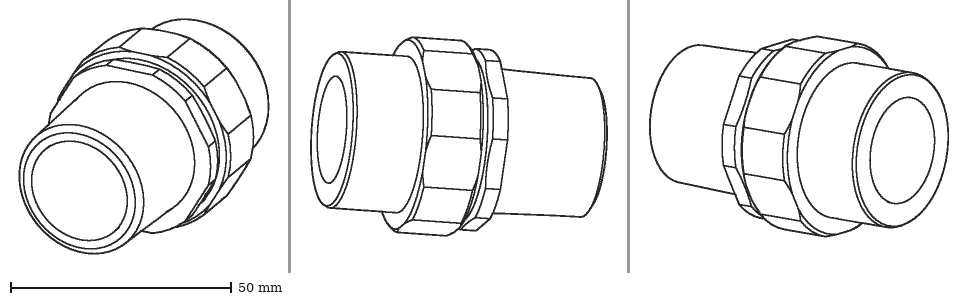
import cadquery as cq
import math


total_length = 60.95
hex_front = 25.25
hex_back = 29.55
nut_front = 31.4
nut_back = 44.5
neck_back = (nut_front + nut_back) / 2

bore_diameter = 24.4

tail_diameter = 35.65
tail_chamfer_axial = 0.8
tail_chamfer_radial = 0.4

nut_across_flats = 42.85
nut_corner_diameter = 44.55
nut_bore_diameter = 39.6
nut_chamfer_axial = 0.8
nut_chamfer_radial = 0.75

neck_diameter = 37.85
hex_across_flats = 39.6
hex_corner_diameter = 41.35
hex_chamfer_axial = 0.8
hex_chamfer_radial = 1.7
taper_ratio = 1 / 16
taper_root_diameter = 33.2
tip_chamfer_axial = 1.05
tip_diameter = 28.45


def turned(profile):
    """Revolve a closed (radius, y) profile about the Y axis."""
    return cq.Workplane("XY").polyline(profile).close().revolve(360, (0, 0, 0), (0, 1, 0))


def cylinder(diameter, y_start, y_end):
    """Cylinder on the Y axis between two stations."""
    radius = diameter / 2
    return turned([(0, y_start), (radius, y_start), (radius, y_end), (0, y_end)])


def hexagon(across_flats, y_start, y_end):
    """Hexagonal prism along Y, with flats facing +Z and -Z and corners on X."""
    across_corners = across_flats / math.cos(math.pi / 6)
    return (
        cq.Workplane("XZ", origin=(0, y_start, 0))
        .polygon(6, across_corners)
        .extrude(y_start - y_end)
    )


def make_tailpiece():
    """Plain tube with a chamfered back rim, seated against the spigot neck."""
    radius = tail_diameter / 2
    bore_radius = bore_diameter / 2
    return turned([
        (bore_radius, neck_back),
        (radius, neck_back),
        (radius, total_length - tail_chamfer_axial),
        (radius - tail_chamfer_radial, total_length),
        (bore_radius, total_length),
    ])


def make_nut():
    """Hexagon with turned corners and chamfered ends, bored in two steps."""
    radius = nut_corner_diameter / 2
    end_radius = radius - nut_chamfer_radial
    envelope = turned([
        (0, nut_front),
        (end_radius, nut_front),
        (radius, nut_front + nut_chamfer_axial),
        (radius, nut_back - nut_chamfer_axial),
        (end_radius, nut_back),
        (0, nut_back),
    ])
    return (
        hexagon(nut_across_flats, nut_front, nut_back)
        .intersect(envelope)
        .cut(cylinder(nut_bore_diameter, nut_front, neck_back))
        .cut(cylinder(tail_diameter, neck_back, nut_back))
    )


def make_spigot_hexagon():
    """Thin hexagon with turned corners, chamfered on its back side only."""
    radius = hex_corner_diameter / 2
    envelope = turned([
        (0, hex_front),
        (radius, hex_front),
        (radius, hex_back - hex_chamfer_axial),
        (radius - hex_chamfer_radial, hex_back),
        (0, hex_back),
    ])
    return hexagon(hex_across_flats, hex_front, hex_back).intersect(envelope)


def make_taper():
    """Cone narrowing toward the front, with a chamfered tip."""
    root_radius = taper_root_diameter / 2
    taper_length = hex_front - tip_chamfer_axial
    front_radius = root_radius - taper_length * taper_ratio / 2
    return turned([
        (0, 0),
        (tip_diameter / 2, 0),
        (front_radius, tip_chamfer_axial),
        (root_radius, hex_front),
        (0, hex_front),
    ])


def make_spigot():
    """Taper, hexagon and neck in one piece, with the bore through all three."""
    return (
        make_spigot_hexagon()
        .union(make_taper())
        .union(cylinder(neck_diameter, hex_back, neck_back))
        .cut(cylinder(bore_diameter, 0, neck_back))
    )


tailpiece = make_tailpiece()
nut = make_nut()
spigot = make_spigot()

result = cq.Compound.makeCompound([tailpiece.val(), *nut.solids().vals(), *spigot.solids().vals()])